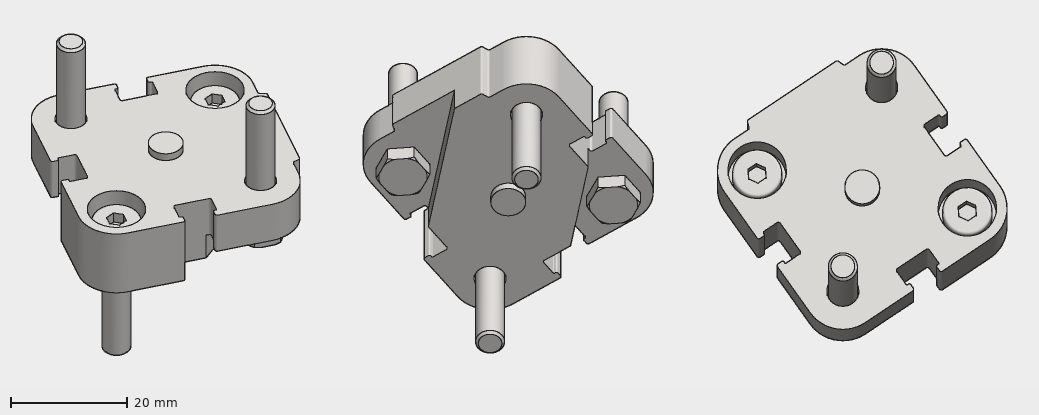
import cadquery as cq
import math

PLATE_WIDTH = 39.6
PLATE_THICKNESS = 12.97
HALF_WIDTH = PLATE_WIDTH / 2
SCREW_OFFSET = 12.97
CORNER_RADIUS = HALF_WIDTH - SCREW_OFFSET

TONGUE_HEIGHT = 1.45
TONGUE_TIP_WIDTH = 18.8
TONGUE_ROOT_WIDTH = 19.75

SLOT_DEPTH = 4.75
SLOT_WIDTH = 6.75
SLOT_MOUTH_WIDTH = 5.45
SLOT_LIP = 1.45
EDGE_RADIUS = 0.4
LIP_INNER_RADIUS = 0.3
LIP_ROOT_RADIUS = 0.15

BOSS_DIAMETER = 6.0
BOSS_HEIGHT = 1.5

RELIEF_HEIGHT = 5.0
RELIEF_WALL_DISTANCE = 12.4
RELIEF_REACH = PLATE_WIDTH

SHANK_DIAMETER = 5.0
SHANK_LENGTH = 25.0
SHANK_CHAMFER = 0.5
CLEARANCE_DIAMETER = 5.5

HEX_ACROSS_FLATS = 8.0
HEX_FACE_DIAMETER = 8.3
HEX_HEAD_HEIGHT = 3.5
WASHER_FACE_DIAMETER = 6.85
WASHER_FACE_HEIGHT = 0.5

CAP_DIAMETER = 8.5
CAP_HEIGHT = 3.5
CAP_ROUNDING = 0.5
SOCKET_ACROSS_FLATS = 3.0
SOCKET_DEPTH = 2.0
COUNTERBORE_DIAMETER = 10.0

OVERALL_HEIGHT = 47.7
UPPER_TIP_Z = RELIEF_HEIGHT + SHANK_LENGTH
CAP_SEAT_Z = UPPER_TIP_Z - OVERALL_HEIGHT + SHANK_LENGTH

HEX_SCREW_PLACES = [(-SCREW_OFFSET, -SCREW_OFFSET), (SCREW_OFFSET, SCREW_OFFSET)]
CAP_SCREW_PLACES = [(-SCREW_OFFSET, SCREW_OFFSET), (SCREW_OFFSET, -SCREW_OFFSET)]
SLOT_ANGLES = [0, 90, -90]


def across_corners(across_flats):
    return across_flats / math.cos(math.pi / 6)


def round_upright_edges(body, corners):
    """Round the full-height plate edge at each corner, given as (x, y, radius)."""
    for x, y, radius in corners:
        edge = cq.selectors.NearestToPointSelector((x, y, PLATE_THICKNESS / 2))
        body = body.edges("|Z").edges(edge).fillet(radius)
    return body


def make_tongue():
    tip_y = HALF_WIDTH + TONGUE_HEIGHT
    return (
        cq.Workplane("XY")
        .moveTo(-TONGUE_ROOT_WIDTH / 2, 0)
        .lineTo(TONGUE_ROOT_WIDTH / 2, 0)
        .lineTo(TONGUE_ROOT_WIDTH / 2, HALF_WIDTH)
        .lineTo(TONGUE_TIP_WIDTH / 2, tip_y)
        .lineTo(-TONGUE_TIP_WIDTH / 2, tip_y)
        .lineTo(-TONGUE_ROOT_WIDTH / 2, HALF_WIDTH)
        .close()
        .extrude(PLATE_THICKNESS)
    )


def tongue_corners():
    corners = []
    for side in (-1, 1):
        corners.append((side * TONGUE_ROOT_WIDTH / 2, HALF_WIDTH, EDGE_RADIUS))
        corners.append((side * TONGUE_TIP_WIDTH / 2, HALF_WIDTH + TONGUE_HEIGHT, EDGE_RADIUS))
    return corners


def make_slot_cutter():
    """T-shaped cutter for the slot in the -Y side."""
    mouth = cq.Workplane("XY").box(
        SLOT_MOUTH_WIDTH, SLOT_DEPTH, PLATE_THICKNESS, centered=(True, False, False)
    )
    pocket = (
        cq.Workplane("XY")
        .box(SLOT_WIDTH, SLOT_DEPTH - SLOT_LIP, PLATE_THICKNESS, centered=(True, False, False))
        .translate((0, SLOT_LIP, 0))
    )
    return mouth.union(pocket).translate((0, -HALF_WIDTH, 0))


def slot_corners(angle):
    """Rounded corners of one slot: lip ends, lip roots and floor corners."""
    lip_y = SLOT_LIP - HALF_WIDTH
    floor_y = SLOT_DEPTH - HALF_WIDTH
    turn = math.radians(angle)
    corners = []
    for side in (-1, 1):
        mouth_x = side * SLOT_MOUTH_WIDTH / 2
        flank_x = side * SLOT_WIDTH / 2
        for x, y, radius in [
            (mouth_x, -HALF_WIDTH, EDGE_RADIUS),
            (mouth_x, lip_y, LIP_INNER_RADIUS),
            (flank_x, lip_y, LIP_ROOT_RADIUS),
            (flank_x, floor_y, EDGE_RADIUS),
        ]:
            turned_x = x * math.cos(turn) - y * math.sin(turn)
            turned_y = x * math.sin(turn) + y * math.cos(turn)
            corners.append((turned_x, turned_y, radius))
    return corners


def make_relief_cutter(angle):
    """Block under the plate whose inner wall squarely faces the given direction."""
    return (
        cq.Workplane("XY")
        .box(RELIEF_REACH, 2 * PLATE_WIDTH, RELIEF_HEIGHT, centered=(False, True, False))
        .translate((RELIEF_WALL_DISTANCE, 0, 0))
        .rotate((0, 0, 0), (0, 0, 1), angle)
    )


def make_housing():
    body = (
        cq.Workplane("XY")
        .box(PLATE_WIDTH, PLATE_WIDTH, PLATE_THICKNESS, centered=(True, True, False))
        .edges("|Z")
        .fillet(CORNER_RADIUS)
    )
    body = round_upright_edges(body.union(make_tongue()), tongue_corners())

    for angle in SLOT_ANGLES:
        body = body.cut(make_slot_cutter().rotate((0, 0, 0), (0, 0, 1), angle))
        body = round_upright_edges(body, slot_corners(angle))

    for x, y in HEX_SCREW_PLACES:
        body = body.cut(make_relief_cutter(math.degrees(math.atan2(y, x))))

    holes = (
        cq.Workplane("XY")
        .pushPoints(HEX_SCREW_PLACES + CAP_SCREW_PLACES)
        .circle(CLEARANCE_DIAMETER / 2)
        .extrude(PLATE_THICKNESS)
    )
    counterbores = (
        cq.Workplane("XY", origin=(0, 0, CAP_SEAT_Z))
        .pushPoints(CAP_SCREW_PLACES)
        .circle(COUNTERBORE_DIAMETER / 2)
        .extrude(PLATE_THICKNESS - CAP_SEAT_Z)
    )
    body = body.cut(holes).cut(counterbores)

    boss = (
        cq.Workplane("XY", origin=(0, 0, -BOSS_HEIGHT))
        .circle(BOSS_DIAMETER / 2)
        .extrude(PLATE_THICKNESS + 2 * BOSS_HEIGHT)
    )
    return body.union(boss)


def make_hex_screw(x, y):
    """Hex-head screw pointing up, its washer face bearing on the relief ceiling."""
    hex_height = HEX_HEAD_HEIGHT - WASHER_FACE_HEIGHT
    head = (
        cq.Workplane("XY")
        .polygon(6, across_corners(HEX_ACROSS_FLATS))
        .extrude(hex_height)
        .rotate((0, 0, 0), (0, 0, 1), 90)
    )
    face_radius = HEX_FACE_DIAMETER / 2
    cone_top_radius = face_radius + hex_height / math.tan(math.pi / 6)
    trim = cq.Workplane(cq.Solid.makeCone(face_radius, cone_top_radius, hex_height))
    head = head.intersect(trim)

    washer_face = (
        cq.Workplane("XY", origin=(0, 0, hex_height))
        .circle(WASHER_FACE_DIAMETER / 2)
        .extrude(WASHER_FACE_HEIGHT)
    )
    shank = (
        cq.Workplane("XY", origin=(0, 0, HEX_HEAD_HEIGHT))
        .circle(SHANK_DIAMETER / 2)
        .extrude(SHANK_LENGTH)
        .faces(">Z")
        .chamfer(SHANK_CHAMFER)
    )
    screw = head.union(washer_face).union(shank)
    return screw.translate((x, y, RELIEF_HEIGHT - HEX_HEAD_HEIGHT))


def make_cap_screw(x, y):
    """Socket-head screw pointing down, its head seated in the counterbore."""
    head = (
        cq.Workplane("XY")
        .circle(CAP_DIAMETER / 2)
        .extrude(CAP_HEIGHT)
        .faces(">Z")
        .edges()
        .fillet(CAP_ROUNDING)
    )
    socket = (
        cq.Workplane("XY", origin=(0, 0, CAP_HEIGHT - SOCKET_DEPTH))
        .polygon(6, across_corners(SOCKET_ACROSS_FLATS))
        .extrude(SOCKET_DEPTH)
    )
    shank = (
        cq.Workplane("XY")
        .circle(SHANK_DIAMETER / 2)
        .extrude(-SHANK_LENGTH)
        .faces("<Z")
        .chamfer(SHANK_CHAMFER)
    )
    return head.cut(socket).union(shank).translate((x, y, CAP_SEAT_Z))


housing = make_housing()
hex_screws = [make_hex_screw(x, y).val() for x, y in HEX_SCREW_PLACES]
cap_screws = [make_cap_screw(x, y).val() for x, y in CAP_SCREW_PLACES]

result = cq.Compound.makeCompound([housing.val(), *hex_screws, *cap_screws])